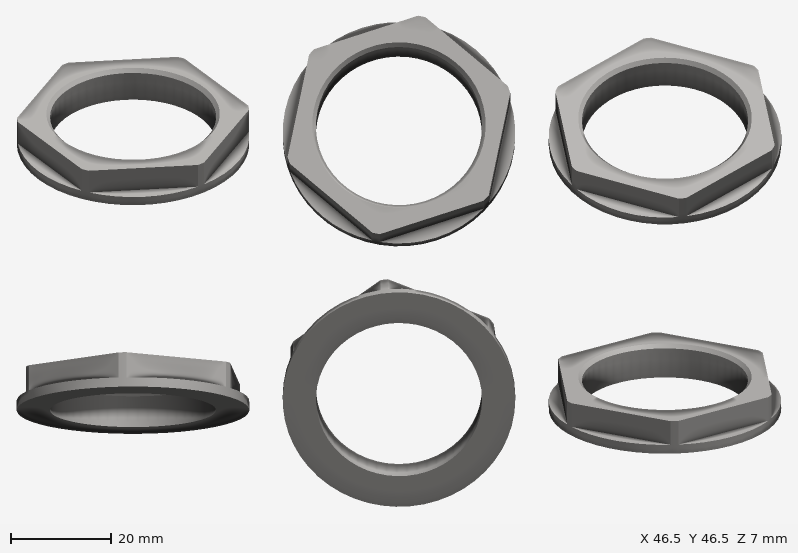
import cadquery as cq

flange_diameter = 46.5
total_height = 7.0
flange_height = 1.9
across_flats = 41.0
bore_diameter = 33.2
chamfer = 0.75


def hexagon_body():
    """Full-height hexagon with flats facing +X and -X, its corners rounded to the flange diameter."""
    hexagon = cq.Workplane("XY").polygon(6, across_flats, circumscribed=True).extrude(total_height)
    corner_limit = cq.Workplane("XY").circle(flange_diameter / 2).extrude(total_height)
    return hexagon.intersect(corner_limit)


def flange():
    return cq.Workplane("XY").circle(flange_diameter / 2).extrude(flange_height)


def bore():
    """Through bore that widens in a 45 degree chamfer at the top face."""
    bore_radius = bore_diameter / 2
    return (
        cq.Workplane("XZ")
        .lineTo(bore_radius, 0)
        .lineTo(bore_radius, total_height - chamfer)
        .lineTo(bore_radius + chamfer, total_height)
        .lineTo(0, total_height)
        .close()
        .revolve(360, (0, 0, 0), (0, 1, 0))
    )


result = hexagon_body().union(flange()).cut(bore())